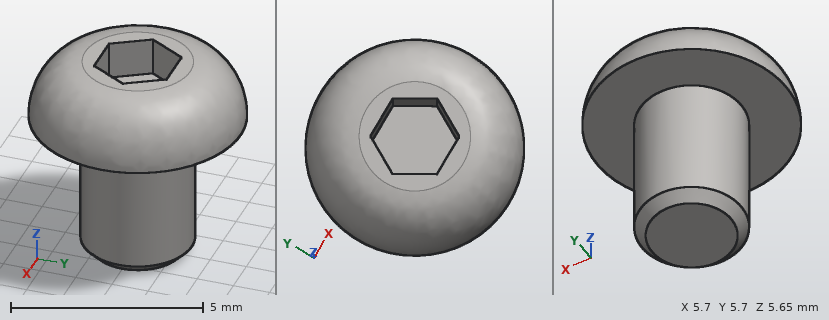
import cadquery as cq
import math

head_diameter = 5.7
head_height = 1.65
crown_flat_diameter = 2.9
shank_diameter = 3.0
shank_length = 4.0
tip_chamfer = 0.3
socket_across_flats = 2.0
socket_depth = 1.04

head_radius = head_diameter / 2
crown_radius = crown_flat_diameter / 2
dome_width = head_radius - crown_radius


def make_head():
    """Domed head standing on Z = 0, with a quarter-ellipse flank and a flat crown."""
    profile = (
        cq.Workplane("XZ")
        .lineTo(head_radius, 0)
        .ellipseArc(dome_width, head_height, 0, 90, startAtCurrent=True)
        .lineTo(0, head_height)
        .close()
    )
    return profile.revolve(360, (0, 0, 0), (0, 1, 0))


def make_shank():
    """Cylindrical shank below the head with a chamfered tip."""
    shank = cq.Workplane("XY").circle(shank_diameter / 2).extrude(-shank_length)
    return shank.faces("<Z").chamfer(tip_chamfer)


def make_socket():
    """Hexagonal drive recess with two corners on the X axis."""
    across_corners = socket_across_flats / math.cos(math.radians(30))
    return (
        cq.Workplane("XY", origin=(0, 0, head_height))
        .polygon(6, across_corners)
        .extrude(-socket_depth)
    )


result = make_head().union(make_shank()).cut(make_socket())